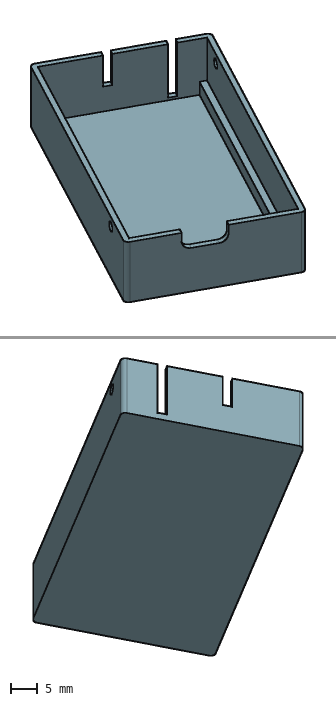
import cadquery as cq

length = 60.9
width = 35.4
height = 13.7
wall = 1.2
floor = 1.0
corner_radius = 1.0

ledge_width = 1.45
ledge_height = 3.0

slot_width = 1.8
tall_slot_y = 9.8
tall_slot_bottom = 1.6
short_slot_y = -2.85
short_slot_bottom = 6.65

notch_y = -2.0
notch_width = 9.15
notch_depth = 3.8
notch_radius = 1.8

hole_diameter = 2.0
hole_z = 11.45
front_hole_x = 21.55
back_hole_x = -23.75

inner_length = length - 2 * wall
inner_width = width - 2 * wall
wall_center_x = (length - wall) / 2
wall_center_y = (width - wall) / 2


def block(size_x, size_y, bottom, top, x=0, y=0):
    """Upright block centred at (x, y), spanning bottom to top."""
    return (
        cq.Workplane("XY", origin=(x, y, bottom))
        .box(size_x, size_y, top - bottom, centered=(True, True, False))
    )


def open_box():
    outer = block(length, width, 0, height).edges("|Z").fillet(corner_radius)
    return outer.cut(block(inner_length, inner_width, floor, height))


def ledge(side):
    y = side * (inner_width - ledge_width) / 2
    return block(inner_length, ledge_width, floor, floor + ledge_height, y=y)


def cable_slot(y, bottom):
    return block(wall, slot_width, bottom, height, -wall_center_x, y)


def notch():
    cutter = block(wall, notch_width, height - notch_depth, height, wall_center_x, notch_y)
    return cutter.edges("|X and <Z").fillet(notch_radius)


def wall_hole(x, side):
    start_y = side * wall_center_y + wall / 2
    center = cq.Workplane("XZ", origin=(x, start_y, hole_z))
    return center.circle(hole_diameter / 2).extrude(wall)


result = open_box()
for side in (-1, 1):
    result = result.union(ledge(side))

result = result.cut(cable_slot(tall_slot_y, tall_slot_bottom))
result = result.cut(cable_slot(short_slot_y, short_slot_bottom))
result = result.cut(notch())
result = result.cut(wall_hole(front_hole_x, -1))
result = result.cut(wall_hole(back_hole_x, 1))